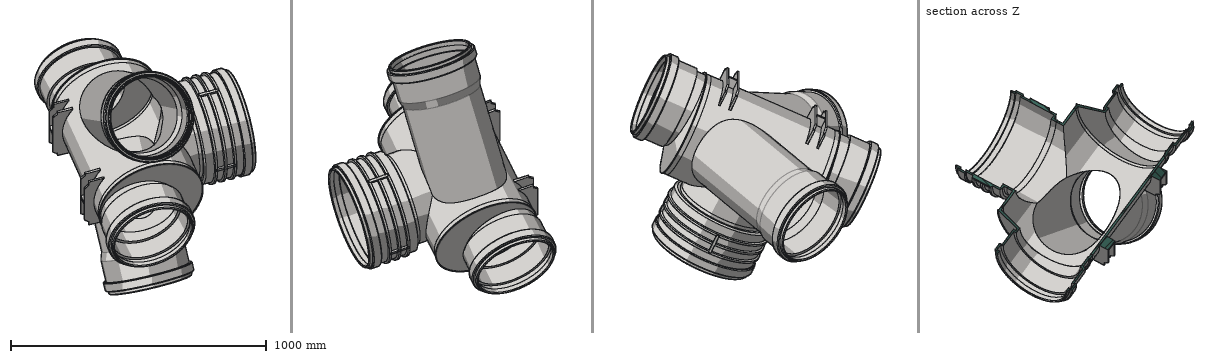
import cadquery as cq
import math


LENGTH_X = 930.0
DEPTH_Y = 713.0
HALF_HEIGHT = 1234 / 2

DRUM_R = 425.0 / 2
DRUM_BORE_R = 404.0 / 2
SEAM_X = 268.0

PIPE_R = 315.0 / 2
PIPE_BORE_R = 295.0 / 2
SOCKET_R = 336.0 / 2
SOCKET_BORE_R = 317.0 / 2
BEAD_R = 358 / 2
GROOVE_R = 340.0 / 2

LIP_CHAMFER = 4.0
BEAD_FRONT = 15.0
BEAD_BACK = 52.0
BEAD_CHAMFER = 4.0
GROOVE_FRONT = 21.0
GROOVE_BACK = 46.0

END_X = LENGTH_X / 2
END_Y = -52.0
RIM_X = 286.0
RIM_WIDTH = 4.0
RIM_R = 431.0 / 2
STEP_X = 331.0
CONE_END_X = 328.0
CONE_END_R = 80.0
END_WALL = 10.0

BRANCH_ANGLE = 45
BRANCH_ORIGIN_X = -220.0
BRANCH_START = 123.0
BELL_START = 538.0
BELL_END = 572.0
BRANCH_END = HALF_HEIGHT * math.sqrt(2) - SOCKET_R + LIP_CHAMFER

NECK_R = 370 / 2
NECK_BORE_R = 350.0 / 2
NECK_TOP_Y = 237.0
RISER_STEP_Y = 250.0
RISER_END_Y = 463.0
RISER_R = 415.0 / 2
RISER_BORE_R = 396.0 / 2
RISER_BEAD_R = 432 / 2
RISER_GROOVE_R = 414.0 / 2
RISER_CHAMFER_DEPTH = 11.0
RISER_CHAMFER_LENGTH = 5.0
HOOP_FIRST_Y = 296.0
HOOP_PITCH = 40.0
HOOP_COUNT = 3
HOOP_CREST_WIDTH = 9.0
HOOP_ROOT_WIDTH = 14.0
RIB_COUNT = 4
RIB_WIDTH = 11.0

FOOT_TIP_Y = RISER_END_Y - DEPTH_Y
FOOT_SHOULDER_Y = -232.0
FOOT_HALF_HEIGHT = 128.0
OUTER_PLATE_X = 216.0
INNER_PLATE_X = 172.0
PLATE_THICKNESS = 7.0
INNER_PLATE_DRAFT = 4.0
WEB_THICKNESS = 11.0
OUTER_TAB = (111.0, 93.0)
INNER_TAB = (118.0, 104.0)
FOOT_ROOT_Y = -148.0


def turned(outline):
    """Solid of revolution about X from (x, radius) points; its seam faces -Y."""
    first_x = outline[0][0]
    last_x = outline[-1][0]
    flipped = [(x, -radius) for x, radius in outline]
    profile = cq.Workplane("XY").polyline([(first_x, 0), *flipped, (last_x, 0)]).close()
    return profile.revolve(360, (0, 0, 0), (1, 0, 0))


def mouth_outside(face, body_r, bead_r):
    """Outer outline from the back of the bead to the chamfered mouth face."""
    back = face - BEAD_BACK
    front = face - BEAD_FRONT
    return [
        (back, body_r),
        (back, bead_r - BEAD_CHAMFER),
        (back + BEAD_CHAMFER, bead_r),
        (front - BEAD_CHAMFER, bead_r),
        (front, bead_r - BEAD_CHAMFER),
        (front, body_r),
        (face - LIP_CHAMFER, body_r),
        (face, body_r - LIP_CHAMFER),
    ]


def mouth_inside(face, bore_r, groove_r):
    """Bore outline from the seal groove to the mouth face, with a lead-in chamfer."""
    back = face - GROOVE_BACK
    front = face - GROOVE_FRONT
    return [
        (back, bore_r),
        (back, groove_r),
        (front, groove_r),
        (front, bore_r),
        (face - LIP_CHAMFER, bore_r),
        (face, bore_r + LIP_CHAMFER),
    ]


def along_branch(shape, side):
    """Move a shape from the X axis onto the upper (+1) or lower (-1) branch axis."""
    tilted = shape.rotate((0, 0, 0), (0, 1, 0), -side * BRANCH_ANGLE)
    return tilted.translate((BRANCH_ORIGIN_X, 0, 0))


def along_riser(shape):
    """Move a shape from the X axis onto the Y axis."""
    return shape.rotate((0, 0, 0), (0, 0, 1), 90)


def make_drum():
    """Drum tube with the riser neck and both belled branch pipes."""
    outside = turned([(-SEAM_X, DRUM_R), (SEAM_X, DRUM_R)])
    outside = outside.union(along_riser(turned([(0, NECK_R), (NECK_TOP_Y, NECK_R)])))
    inside = turned([(-SEAM_X, DRUM_BORE_R), (SEAM_X, DRUM_BORE_R)])
    inside = inside.union(along_riser(turned([(0, NECK_BORE_R), (NECK_TOP_Y, NECK_BORE_R)])))

    branch = turned([
        (BRANCH_START, PIPE_R),
        (BELL_START, PIPE_R),
        (BELL_END, SOCKET_R),
        *mouth_outside(BRANCH_END, SOCKET_R, BEAD_R),
    ])
    branch_bore = turned([
        (BRANCH_START, PIPE_BORE_R),
        (BELL_START, PIPE_BORE_R),
        (BELL_END, SOCKET_BORE_R),
        *mouth_inside(BRANCH_END, SOCKET_BORE_R, GROOVE_R),
    ])
    for side in (1, -1):
        outside = outside.union(along_branch(branch, side))
        inside = inside.union(along_branch(branch_bore, side))
    return outside.cut(inside)


def make_end_socket(side):
    """Drum end with a shallow cone and an off-axis pipe socket, at +X (+1) or -X (-1)."""
    cone_start_x = RIM_X + RIM_WIDTH
    cap = turned([
        (SEAM_X, DRUM_R),
        (RIM_X, DRUM_R),
        (RIM_X, RIM_R),
        (cone_start_x, RIM_R),
        (cone_start_x, DRUM_R),
        (CONE_END_X, CONE_END_R),
    ])
    cap_hollow = turned([
        (SEAM_X, DRUM_BORE_R),
        (cone_start_x - END_WALL, DRUM_BORE_R),
        (CONE_END_X - END_WALL, CONE_END_R),
    ])
    pipe = turned([
        (RIM_X, PIPE_R),
        (STEP_X, PIPE_R),
        (STEP_X, SOCKET_R),
        *mouth_outside(END_X, SOCKET_R, BEAD_R),
    ])
    socket_floor_x = STEP_X + END_WALL
    pipe_bore = turned([
        (SEAM_X, PIPE_BORE_R),
        (socket_floor_x, PIPE_BORE_R),
        (socket_floor_x, SOCKET_BORE_R),
        *mouth_inside(END_X, SOCKET_BORE_R, GROOVE_R),
    ])
    offset = (0, END_Y, 0)
    socket = cap.union(pipe.translate(offset)).cut(cap_hollow).cut(pipe_bore.translate(offset))
    return socket if side > 0 else socket.mirror("YZ")


def make_riser_socket():
    """Socket on the riser neck, with three hoops joined by four short ribs."""
    socket = turned([
        (NECK_TOP_Y, NECK_R),
        (RISER_STEP_Y, NECK_R),
        (RISER_STEP_Y, RISER_R - RISER_CHAMFER_DEPTH),
        (RISER_STEP_Y + RISER_CHAMFER_LENGTH, RISER_R),
        *mouth_outside(RISER_END_Y, RISER_R, RISER_BEAD_R),
    ])
    for index in range(HOOP_COUNT):
        hoop_y = HOOP_FIRST_Y + index * HOOP_PITCH
        hoop = turned([
            (hoop_y - HOOP_ROOT_WIDTH / 2, RISER_R),
            (hoop_y - HOOP_CREST_WIDTH / 2, RISER_BEAD_R),
            (hoop_y + HOOP_CREST_WIDTH / 2, RISER_BEAD_R),
            (hoop_y + HOOP_ROOT_WIDTH / 2, RISER_R),
        ])
        socket = socket.union(hoop)

    rib_length = (HOOP_COUNT - 1) * HOOP_PITCH
    rib = cq.Workplane("XY").box(rib_length, RISER_BEAD_R, RIB_WIDTH, centered=(False, False, True))
    rib = rib.translate((HOOP_FIRST_Y, 0, 0))
    for index in range(RIB_COUNT):
        socket = socket.union(rib.rotate((0, 0, 0), (1, 0, 0), index * 360 / RIB_COUNT))

    floor_y = RISER_STEP_Y + END_WALL
    bore = turned([
        (NECK_TOP_Y, NECK_BORE_R),
        (floor_y, NECK_BORE_R),
        (floor_y, RISER_BORE_R),
        *mouth_inside(RISER_END_Y, RISER_BORE_R, RISER_GROOVE_R),
    ])
    return along_riser(socket.cut(bore))


def foot_plate(plan, tab):
    """Upright plate with the given XY section, its tip narrowed to a sloped tab."""
    shoulder, tip = tab
    plate = cq.Workplane("XY").polyline(plan).close().extrude(FOOT_HALF_HEIGHT, both=True)
    outline = cq.Workplane("YZ").polyline([
        (FOOT_ROOT_Y, FOOT_HALF_HEIGHT),
        (FOOT_SHOULDER_Y, FOOT_HALF_HEIGHT),
        (FOOT_SHOULDER_Y, shoulder),
        (FOOT_TIP_Y, tip),
        (FOOT_TIP_Y, -tip),
        (FOOT_SHOULDER_Y, -shoulder),
        (FOOT_SHOULDER_Y, -FOOT_HALF_HEIGHT),
        (FOOT_ROOT_Y, -FOOT_HALF_HEIGHT),
    ]).close().extrude(OUTER_PLATE_X)
    return plate.intersect(outline)


def make_foot(side):
    """Two plates joined by a web, seated on the drum at +X (+1) or -X (-1)."""
    outer_inside_x = OUTER_PLATE_X - PLATE_THICKNESS
    outer_plate = foot_plate([
        (OUTER_PLATE_X, FOOT_ROOT_Y),
        (OUTER_PLATE_X, FOOT_TIP_Y),
        (outer_inside_x, FOOT_TIP_Y),
        (outer_inside_x, FOOT_ROOT_Y),
    ], OUTER_TAB)
    inner_face_x = INNER_PLATE_X - PLATE_THICKNESS
    inner_plate = foot_plate([
        (INNER_PLATE_X, FOOT_ROOT_Y),
        (INNER_PLATE_X, FOOT_TIP_Y),
        (inner_face_x, FOOT_TIP_Y),
        (inner_face_x - INNER_PLATE_DRAFT, FOOT_ROOT_Y),
    ], INNER_TAB)
    web = cq.Workplane("XY").box(
        outer_inside_x - INNER_PLATE_X, FOOT_ROOT_Y - FOOT_TIP_Y, WEB_THICKNESS, centered=(False, False, True)
    ).translate((INNER_PLATE_X, FOOT_TIP_Y, 0))
    foot = outer_plate.union(web).union(inner_plate)
    foot = foot.cut(turned([(-SEAM_X, DRUM_R), (SEAM_X, DRUM_R)]))
    return foot if side > 0 else foot.mirror("YZ")


drum = make_drum()
end_sockets = [make_end_socket(side) for side in (-1, 1)]
riser_socket = make_riser_socket()
feet = [make_foot(side) for side in (-1, 1)]

result = cq.Compound.makeCompound([
    drum.val(),
    *[socket.val() for socket in end_sockets],
    riser_socket.val(),
    *[foot.val() for foot in feet],
])